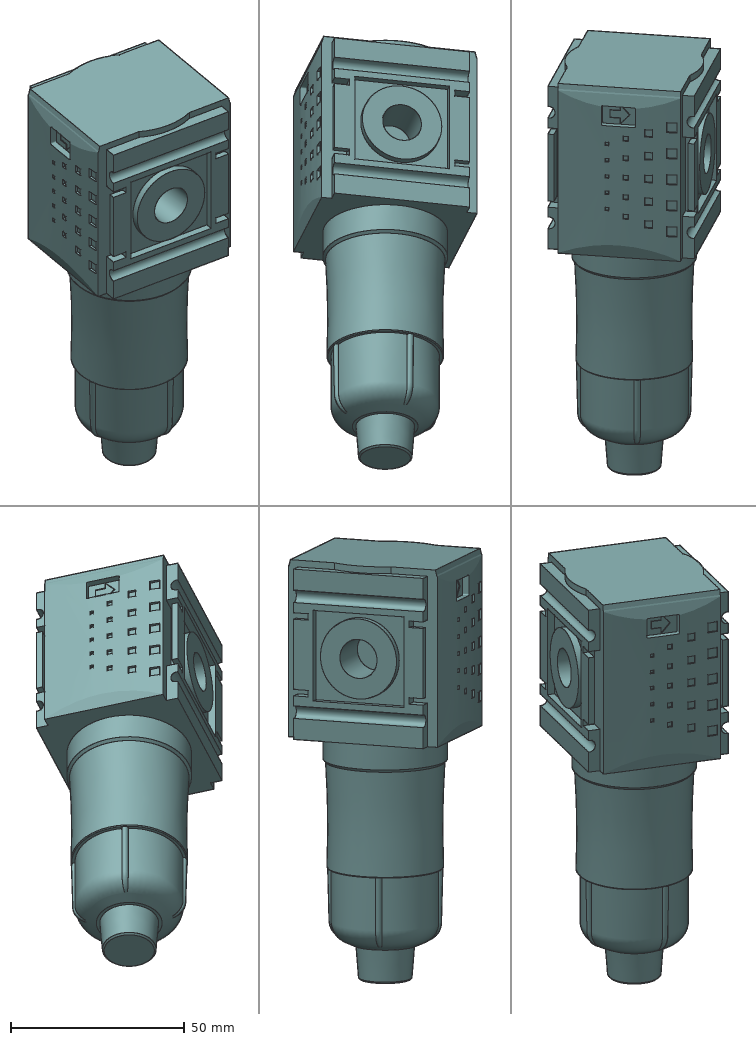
import cadquery as cq
import math


BODY_WIDTH = 36.0
BODY_SIDE_Y = 23.0
PANEL_CROWN_RADIUS = 150.0
BODY_TOP = 27.0
BODY_BOTTOM = -25.0
TOP_BEVEL_HEIGHT = 2.0
TOP_BEVEL_DEPTH = 0.6
RIM_FACET_HEIGHT = 0.4
RIM_FACET_DEPTH = 0.2
PANEL_BEVEL_HEIGHT = 4.0
LOBE_RADIUS = 20.0
LOBE_HEIGHT = 2.0

FLANGE_FACE_X = 21.5
FLANGE_DEPTH = 40.0
FLANGE_HALF_HEIGHT = 25.0
GROOVE_Z = 17.0
GROOVE_RADIUS = 1.8
GROOVE_CENTRE_X = 21.2
LATCH_HALF_HEIGHT = 12.2
LATCH_DEPTH = 4.4
LIP_HALF_HEIGHT = 10.3
LIP_BACK_X = 19.7

PORT_RECESS_Y = 28.0
PORT_RECESS_Z = 26.6
PORT_RECESS_DEPTH = 2.2
PORT_BOSS_DIAMETER = 23.5
PORT_HOLE_DIAMETER = 11.45
PORT_HOLE_DEPTH = 14.0

WINDOW_WIDTH = 10.0
WINDOW_HEIGHT = 6.0
WINDOW_Z = 18.6
WINDOW_CORNER_RADIUS = 0.4
WINDOW_FLOOR_Y = 22.0
ARROW_LENGTH = 5.8
ARROW_SHAFT_HEIGHT = 2.3
ARROW_HEAD_LENGTH = 2.8
ARROW_DEPTH = 0.3
DIMPLE_DEPTH = 0.7
DIMPLES_PER_COLUMN = 5
DIMPLE_COLUMNS = [(-3.4, 1.0, 5.0), (2.1, 1.5, 6.0), (8.8, 2.25, 7.0), (15.5, 3.0, 8.0)]

COLLAR_RADIUS = 18.0
COLLAR_LENGTH = 8.0
COLLAR_BEVEL = 0.8
GUARD_TOP_RADIUS = 17.25
GUARD_WAIST_RADIUS = 16.65
GUARD_BOTTOM_RADIUS = 16.85
GUARD_BOTTOM = -65.0
GUARD_EDGE_BEVEL = 0.3

BOWL_RADIUS = 15.65
DOME_START = -80.8
DOME_RADIUS = 6.0
DOME_CONE_ANGLE = 25.0
SPOUT_TOP = -87.5
SPOUT_BOTTOM = -97.7
SPOUT_TOP_RADIUS = 8.5
SPOUT_LOW_RADIUS = 7.75
SPOUT_BEVEL = 0.5
RIB_COUNT = 4
RIB_RADIUS = 0.95
RIB_TOP_CENTRE = 15.8
RIB_LOW_CENTRE = 15.4
RIB_ANGLE = 14.2

HALF_WIDTH = BODY_WIDTH / 2
CROWN_CENTRE_Y = math.sqrt(PANEL_CROWN_RADIUS**2 - HALF_WIDTH**2) - BODY_SIDE_Y
PANEL_CROWN_Y = PANEL_CROWN_RADIUS - CROWN_CENTRE_Y
DOME_CENTRE_RADIUS = BOWL_RADIUS - DOME_RADIUS


def box(x_range, y_range, z_range):
    """Axis-aligned block from its limits along X, Y and Z."""
    sizes = [high - low for low, high in (x_range, y_range, z_range)]
    corner = (x_range[0], y_range[0], z_range[0])
    return cq.Workplane("XY").box(*sizes, centered=False).translate(corner)


def panel_surface_y(x):
    """Distance of the bulged panel surface from the XZ plane at a given X."""
    return math.sqrt(PANEL_CROWN_RADIUS**2 - x**2) - CROWN_CENTRE_Y


def housing_core():
    """Block with bulged front and back, trimmed by the bevels at its top and bottom."""
    plan = (
        cq.Workplane("XY", origin=(0, 0, BODY_BOTTOM))
        .moveTo(-HALF_WIDTH, -BODY_SIDE_Y)
        .threePointArc((0, -PANEL_CROWN_Y), (HALF_WIDTH, -BODY_SIDE_Y))
        .lineTo(HALF_WIDTH, BODY_SIDE_Y)
        .threePointArc((0, PANEL_CROWN_Y), (-HALF_WIDTH, BODY_SIDE_Y))
        .close()
        .extrude(BODY_TOP - BODY_BOTTOM)
    )
    bevel_top = BODY_TOP - TOP_BEVEL_HEIGHT
    back_edge = [
        (BODY_SIDE_Y, BODY_BOTTOM),
        (PANEL_CROWN_Y, BODY_BOTTOM + PANEL_BEVEL_HEIGHT),
        (PANEL_CROWN_Y, bevel_top - PANEL_BEVEL_HEIGHT),
        (BODY_SIDE_Y, bevel_top),
        (BODY_SIDE_Y - RIM_FACET_DEPTH, bevel_top + RIM_FACET_HEIGHT),
        (BODY_SIDE_Y - TOP_BEVEL_DEPTH, BODY_TOP),
    ]
    front_edge = [(-y, z) for y, z in reversed(back_edge)]
    side_outline = (
        cq.Workplane("YZ").polyline(back_edge + front_edge).close().extrude(HALF_WIDTH, both=True)
    )
    lobes = cq.Workplane("XY", origin=(0, 0, bevel_top)).circle(LOBE_RADIUS).extrude(LOBE_HEIGHT)
    return plan.intersect(side_outline).union(lobes)


def flange():
    """Mounting flange of the +X side, with clamp grooves, edge pockets and the port boss."""
    half_depth = FLANGE_DEPTH / 2
    thickness = (HALF_WIDTH, FLANGE_FACE_X)
    body = box(thickness, (-half_depth, half_depth), (-FLANGE_HALF_HEIGHT, FLANGE_HALF_HEIGHT))

    for z in (-GROOVE_Z, GROOVE_Z):
        round_floor = (
            cq.Workplane("XZ", origin=(GROOVE_CENTRE_X, 0, z))
            .circle(GROOVE_RADIUS)
            .extrude(half_depth, both=True)
        )
        mouth = box(
            (GROOVE_CENTRE_X, FLANGE_FACE_X),
            (-half_depth, half_depth),
            (z - GROOVE_RADIUS, z + GROOVE_RADIUS),
        )
        body = body.cut(round_floor).cut(mouth)

    for edge in ((-half_depth, LATCH_DEPTH - half_depth), (half_depth - LATCH_DEPTH, half_depth)):
        pocket = box(thickness, edge, (-LATCH_HALF_HEIGHT, LATCH_HALF_HEIGHT))
        lip = box((LIP_BACK_X, FLANGE_FACE_X), edge, (-LIP_HALF_HEIGHT, LIP_HALF_HEIGHT))
        body = body.cut(pocket.cut(lip))

    floor = cq.Workplane("YZ", origin=(FLANGE_FACE_X - PORT_RECESS_DEPTH, 0, 0))
    recess = floor.rect(PORT_RECESS_Y, PORT_RECESS_Z).extrude(PORT_RECESS_DEPTH)
    boss = floor.circle(PORT_BOSS_DIAMETER / 2).extrude(PORT_RECESS_DEPTH)
    return body.cut(recess.cut(boss))


def port_hole():
    """Blind hole of the +X port."""
    return (
        cq.Workplane("YZ", origin=(FLANGE_FACE_X, 0, 0))
        .circle(PORT_HOLE_DIAMETER / 2)
        .extrude(-PORT_HOLE_DEPTH)
    )


def arrow_window():
    """Pocket of the -Y panel with a flow arrow engraved in its floor."""
    floor = cq.Workplane("XZ", origin=(0, -WINDOW_FLOOR_Y, WINDOW_Z))
    window = floor.rect(WINDOW_WIDTH, WINDOW_HEIGHT).extrude(PANEL_CROWN_Y - WINDOW_FLOOR_Y)
    window = window.edges("|Y").fillet(WINDOW_CORNER_RADIUS)
    tip = ARROW_LENGTH / 2
    neck = tip - ARROW_HEAD_LENGTH
    shaft = ARROW_SHAFT_HEIGHT / 2
    barb = WINDOW_HEIGHT / 2
    upper = [(-tip, shaft), (neck, shaft), (neck, barb), (tip, 0)]
    lower = [(neck, -barb), (neck, -shaft), (-tip, -shaft)]
    arrow = floor.polyline(upper + lower).close().extrude(-ARROW_DEPTH)
    return window.union(arrow)


def dimples():
    """Square dimples of the -Y panel, growing from column to column."""
    cutters = []
    middle = (DIMPLES_PER_COLUMN - 1) / 2
    for x, side, pitch in DIMPLE_COLUMNS:
        floor_y = panel_surface_y(x) - DIMPLE_DEPTH
        places = [(x, (row - middle) * pitch) for row in range(DIMPLES_PER_COLUMN)]
        column = (
            cq.Workplane("XZ", origin=(0, -floor_y, 0))
            .pushPoints(places)
            .rect(side, side)
            .extrude(PANEL_CROWN_Y - floor_y)
        )
        cutters.extend(column.vals())
    return cq.Workplane(obj=cq.Compound.makeCompound(cutters))


def make_housing():
    """Housing; its two sides and its two panels repeat by a half turn about Z."""
    body = housing_core()
    for turn in (0, 180):
        body = body.union(flange().rotate((0, 0, 0), (0, 0, 1), turn))
    for turn in (0, 180):
        for cutter in (port_hole(), arrow_window(), dimples()):
            body = body.cut(cutter.rotate((0, 0, 0), (0, 0, 1), turn))
    return body


def make_bowl_guard():
    """Collar and slightly waisted sleeve below the housing."""
    collar_bottom = BODY_BOTTOM - COLLAR_LENGTH
    sleeve_top = collar_bottom - COLLAR_BEVEL
    bevel_top = GUARD_BOTTOM + GUARD_EDGE_BEVEL
    waist_z = (sleeve_top + bevel_top) / 2
    return (
        cq.Workplane("XZ")
        .moveTo(0, BODY_BOTTOM)
        .lineTo(COLLAR_RADIUS, BODY_BOTTOM)
        .lineTo(COLLAR_RADIUS, collar_bottom)
        .lineTo(GUARD_TOP_RADIUS, sleeve_top)
        .threePointArc((GUARD_WAIST_RADIUS, waist_z), (GUARD_BOTTOM_RADIUS, bevel_top))
        .lineTo(GUARD_BOTTOM_RADIUS - GUARD_EDGE_BEVEL, GUARD_BOTTOM)
        .lineTo(0, GUARD_BOTTOM)
        .close()
        .revolve(360, (0, 0, 0), (0, 1, 0))
    )


def dome_point(radius, angle):
    """Point (distance from axis, Z) on an arc about the dome centre, angle below horizontal."""
    turn = math.radians(angle)
    return DOME_CENTRE_RADIUS + radius * math.cos(turn), DOME_START - radius * math.sin(turn)


def bowl_shell():
    """Straight bowl wall, rounded lower edge and conical underside."""
    arc_angle = 90 - DOME_CONE_ANGLE
    cone_radius, cone_z = dome_point(DOME_RADIUS, arc_angle)
    cone_run = (cone_z - SPOUT_TOP) / math.tan(math.radians(DOME_CONE_ANGLE))
    return (
        cq.Workplane("XZ")
        .moveTo(0, GUARD_BOTTOM)
        .lineTo(BOWL_RADIUS, GUARD_BOTTOM)
        .lineTo(BOWL_RADIUS, DOME_START)
        .threePointArc(dome_point(DOME_RADIUS, arc_angle / 2), (cone_radius, cone_z))
        .lineTo(cone_radius - cone_run, SPOUT_TOP)
        .lineTo(0, SPOUT_TOP)
        .close()
        .revolve(360, (0, 0, 0), (0, 1, 0))
    )


def bowl_rib():
    """Round rib on the +X side that follows the wall and sinks into the dome."""
    rib_end = dome_point(DOME_RADIUS - RIB_RADIUS, 90 - DOME_CONE_ANGLE)
    centre_line = (
        cq.Workplane("XZ")
        .moveTo(RIB_TOP_CENTRE, GUARD_BOTTOM)
        .lineTo(RIB_LOW_CENTRE, DOME_START)
        .tangentArcPoint(rib_end, relative=False)
    )
    section = cq.Workplane("XY", origin=(RIB_TOP_CENTRE, 0, GUARD_BOTTOM)).circle(RIB_RADIUS)
    return section.sweep(centre_line)


def drain_spout():
    """Tapered spout under the bowl, bevelled at its lower rim."""
    outline = [
        (0, SPOUT_TOP),
        (SPOUT_TOP_RADIUS, SPOUT_TOP),
        (SPOUT_LOW_RADIUS, SPOUT_BOTTOM + SPOUT_BEVEL),
        (SPOUT_LOW_RADIUS - SPOUT_BEVEL, SPOUT_BOTTOM),
        (0, SPOUT_BOTTOM),
    ]
    return cq.Workplane("XZ").polyline(outline).close().revolve(360, (0, 0, 0), (0, 1, 0))


def make_bowl():
    """Domed bowl with upright ribs and a drain spout."""
    body = bowl_shell().union(drain_spout())
    first_angle = RIB_ANGLE - 90
    for index in range(RIB_COUNT):
        turn = first_angle + index * 360 / RIB_COUNT
        body = body.union(bowl_rib().rotate((0, 0, 0), (0, 0, 1), turn))
    return body


housing = make_housing()
bowl_guard = make_bowl_guard()
bowl = make_bowl()

result = cq.Compound.makeCompound([housing.val(), bowl_guard.val(), bowl.val()])